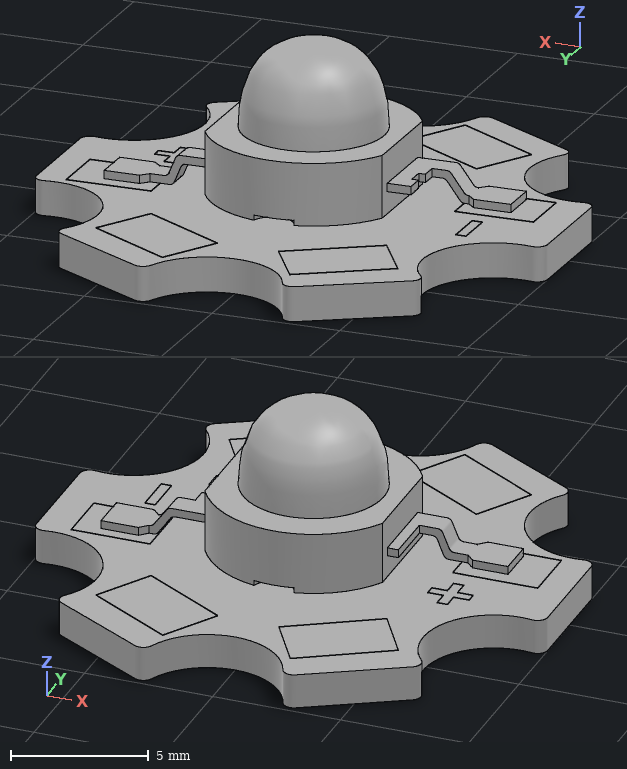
import cadquery as cq
import math

BOARD_ACROSS = 20.0
BOARD_THICKNESS = 1.35
ARM_COUNT = 6
ARM_STEP = 360.0 / ARM_COUNT
NOTCH_DIAMETER = 5.5
NOTCH_CENTER_RADIUS = 10.52
ARM_CORNER_RADIUS = 0.4

COPPER_THICKNESS = 0.02
SPARE_PAD_LENGTH = 3.98
SPARE_PAD_WIDTH = 2.52
SPARE_PAD_X = 3.55
SPARE_PAD_Y = 6.52
SPARE_PAD_ANGLE = 31.0
PLUS_PAD_LENGTH = 3.32
PLUS_PAD_WIDTH = 2.35
PLUS_PAD_CENTER = (7.15, 1.0)
MINUS_PAD_LENGTH = 3.08
MINUS_PAD_WIDTH = 2.25
MINUS_PAD_CENTER = (-7.1, -1.0)
MARK_LENGTH = 1.62
MARK_WIDTH = 0.4
PLUS_MARK_CENTER = (6.05, -1.75)
MINUS_MARK_CENTER = (-6.72, 1.62)

SLUG_DIAMETER = 5.5
SLUG_HEIGHT = 0.1
HOUSING_DIAMETER = 8.0
HOUSING_ACROSS_FLATS = 6.95
HOUSING_HEIGHT = 2.42
HOUSING_BOTTOM = BOARD_THICKNESS + SLUG_HEIGHT
HOUSING_TOP = HOUSING_BOTTOM + HOUSING_HEIGHT
RIM_NOTCH_WIDTH = 1.55
RIM_NOTCH_RADIUS = 0.8
RIM_NOTCH_HEIGHT = 0.2

LEAD_THICKNESS = 0.32
LEAD_RISE = 0.85
LEAD_BEND_RADIUS = 0.22
LEAD_HALF_SPREAD = 1.5
LEAD_ARM_WIDTH = 0.92
LEAD_FOOT_WIDTH = 1.52
LEAD_FOOT_CHAMFER = (LEAD_FOOT_WIDTH - LEAD_ARM_WIDTH) / 2
LEAD_ARM_Y = LEAD_HALF_SPREAD - LEAD_ARM_WIDTH / 2
PLUS_TAB_REACH = 3.9
PLUS_SHOULDER_REACH = 4.75
PLUS_HEEL_REACH = 5.12
PLUS_FOOT_START = 5.8
PLUS_TOE_REACH = 7.48
MINUS_TAB_REACH = 4.4
MINUS_SHOULDER_REACH = 5.08
MINUS_HEEL_REACH = 5.72
MINUS_FOOT_START = 5.85
MINUS_TOE_REACH = 7.6
TAB_NOTCH_DEPTH = 0.25
TAB_NOTCH_WIDTH = 0.68
TAB_NOTCH_Y = 0.42

LENS_DIAMETER = 5.5
TOTAL_HEIGHT = 7.2
LENS_HEIGHT = TOTAL_HEIGHT - HOUSING_TOP
LENS_SIDE_HANDLE = 1.85
LENS_CROWN_HANDLE = 2.1


def raised_rectangle(length, width, center, angle=0.0):
    """A copper rectangle on the top face of the board."""
    block = cq.Workplane("XY").box(length, width, COPPER_THICKNESS, centered=(True, True, False))
    block = block.rotate((0, 0, 0), (0, 0, 1), angle)
    return block.translate((center[0], center[1], BOARD_THICKNESS))


def make_board():
    """Hexagon with a round notch at each corner, carrying the pads and polarity marks."""
    corner_to_corner = BOARD_ACROSS / math.cos(math.radians(ARM_STEP / 2))
    blank = (
        cq.Workplane("XY")
        .polygon(ARM_COUNT, corner_to_corner)
        .extrude(BOARD_THICKNESS)
        .rotate((0, 0, 0), (0, 0, 1), ARM_STEP / 2)
    )
    notches = (
        cq.Workplane("XY")
        .polarArray(NOTCH_CENTER_RADIUS, ARM_STEP / 2, 360, ARM_COUNT)
        .circle(NOTCH_DIAMETER / 2)
        .extrude(BOARD_THICKNESS)
    )
    board = blank.cut(notches).edges("|Z").fillet(ARM_CORNER_RADIUS)

    for x_side in (-1, 1):
        for y_side in (-1, 1):
            center = (x_side * SPARE_PAD_X, y_side * SPARE_PAD_Y)
            angle = -x_side * y_side * SPARE_PAD_ANGLE
            board = board.union(raised_rectangle(SPARE_PAD_LENGTH, SPARE_PAD_WIDTH, center, angle))

    board = board.union(raised_rectangle(PLUS_PAD_LENGTH, PLUS_PAD_WIDTH, PLUS_PAD_CENTER))
    board = board.union(raised_rectangle(MINUS_PAD_LENGTH, MINUS_PAD_WIDTH, MINUS_PAD_CENTER))
    board = board.union(raised_rectangle(MARK_LENGTH, MARK_WIDTH, PLUS_MARK_CENTER))
    board = board.union(raised_rectangle(MARK_WIDTH, MARK_LENGTH, PLUS_MARK_CENTER))
    return board.union(raised_rectangle(MARK_WIDTH, MARK_LENGTH, MINUS_MARK_CENTER))


def make_lead(tab_reach, shoulder_reach, heel_reach, foot_start, toe_reach):
    """A bent strip leaving the +X side of the housing, with a tab at its root and a wide foot."""
    foot_top = HOUSING_BOTTOM + LEAD_THICKNESS
    shoulder_top = foot_top + LEAD_RISE
    bend_angle = math.atan2(LEAD_RISE, heel_reach - shoulder_reach)
    bend_shift = LEAD_THICKNESS * math.tan(bend_angle / 2)
    root = HOUSING_ACROSS_FLATS / 2

    bent_sheet = (
        cq.Workplane("XZ")
        .moveTo(root, shoulder_top)
        .lineTo(shoulder_reach, shoulder_top)
        .lineTo(heel_reach, foot_top)
        .lineTo(toe_reach, foot_top)
        .lineTo(toe_reach, HOUSING_BOTTOM)
        .lineTo(heel_reach - bend_shift, HOUSING_BOTTOM)
        .lineTo(shoulder_reach - bend_shift, shoulder_top - LEAD_THICKNESS)
        .lineTo(root, shoulder_top - LEAD_THICKNESS)
        .close()
        .extrude(BOARD_ACROSS / 2, both=True)
    )
    bends = cq.selectors.BoxSelector(
        (shoulder_reach - 2 * bend_shift, -BOARD_ACROSS, 0),
        (heel_reach + bend_shift, BOARD_ACROSS, TOTAL_HEIGHT),
    )
    bent_sheet = bent_sheet.edges("|Y").edges(bends).fillet(LEAD_BEND_RADIUS)

    arm_outer = LEAD_HALF_SPREAD
    arm_inner = LEAD_HALF_SPREAD - LEAD_ARM_WIDTH
    foot_outer = LEAD_ARM_Y + LEAD_FOOT_WIDTH / 2
    foot_inner = LEAD_ARM_Y - LEAD_FOOT_WIDTH / 2
    foot_full = foot_start + LEAD_FOOT_CHAMFER
    plan = (
        cq.Workplane("XY")
        .moveTo(root, -LEAD_HALF_SPREAD)
        .lineTo(tab_reach, -LEAD_HALF_SPREAD)
        .lineTo(tab_reach, arm_inner)
        .lineTo(foot_start, arm_inner)
        .lineTo(foot_full, foot_inner)
        .lineTo(toe_reach, foot_inner)
        .lineTo(toe_reach, foot_outer)
        .lineTo(foot_full, foot_outer)
        .lineTo(foot_start, arm_outer)
        .lineTo(root, arm_outer)
        .close()
        .extrude(TOTAL_HEIGHT)
    )
    return bent_sheet.intersect(plan)


def make_minus_lead():
    """The -X lead, turned half around from the +X one and with a small notch in its tab."""
    lead = make_lead(
        MINUS_TAB_REACH, MINUS_SHOULDER_REACH, MINUS_HEEL_REACH, MINUS_FOOT_START, MINUS_TOE_REACH
    ).rotate((0, 0, 0), (0, 0, 1), 180)
    tab_notch = cq.Workplane("XY").box(2 * TAB_NOTCH_DEPTH, TAB_NOTCH_WIDTH, 2 * TOTAL_HEIGHT)
    return lead.cut(tab_notch.translate((-MINUS_TAB_REACH, TAB_NOTCH_Y, 0)))


def make_housing():
    """Round housing with two flats, its heat slug, two rim notches and both leads."""
    housing = cq.Workplane("XY").workplane(offset=HOUSING_BOTTOM)
    housing = housing.circle(HOUSING_DIAMETER / 2).extrude(HOUSING_HEIGHT)
    flats = cq.Workplane("XY").box(HOUSING_ACROSS_FLATS, HOUSING_DIAMETER, 2 * TOTAL_HEIGHT)
    housing = housing.intersect(flats)

    half_width = RIM_NOTCH_WIDTH / 2
    rim_offset = math.sqrt((HOUSING_DIAMETER / 2) ** 2 - half_width**2)
    notch_offset = rim_offset + math.sqrt(RIM_NOTCH_RADIUS**2 - half_width**2)
    rim_notches = (
        cq.Workplane("XY")
        .workplane(offset=HOUSING_BOTTOM)
        .pushPoints([(0, -notch_offset), (0, notch_offset)])
        .circle(RIM_NOTCH_RADIUS)
        .extrude(RIM_NOTCH_HEIGHT)
    )
    housing = housing.cut(rim_notches)

    slug = cq.Workplane("XY").workplane(offset=BOARD_THICKNESS)
    slug = slug.circle(SLUG_DIAMETER / 2).extrude(SLUG_HEIGHT)
    plus_lead = make_lead(
        PLUS_TAB_REACH, PLUS_SHOULDER_REACH, PLUS_HEEL_REACH, PLUS_FOOT_START, PLUS_TOE_REACH
    )
    return housing.union(slug).union(plus_lead).union(make_minus_lead())


def make_lens():
    """Dome that leaves the housing upright and closes over a level crown."""
    lens_radius = LENS_DIAMETER / 2
    profile = (
        cq.Workplane("XZ")
        .lineTo(lens_radius, 0)
        .bezier(
            [
                (lens_radius, 0),
                (lens_radius, LENS_SIDE_HANDLE),
                (LENS_CROWN_HANDLE, LENS_HEIGHT),
                (0, LENS_HEIGHT),
            ]
        )
        .close()
    )
    return profile.revolve(360, (0, 0), (0, 1)).translate((0, 0, HOUSING_TOP))


board = make_board()
housing = make_housing()
lens = make_lens()
result = cq.Compound.makeCompound([board.val(), housing.val(), lens.val()])